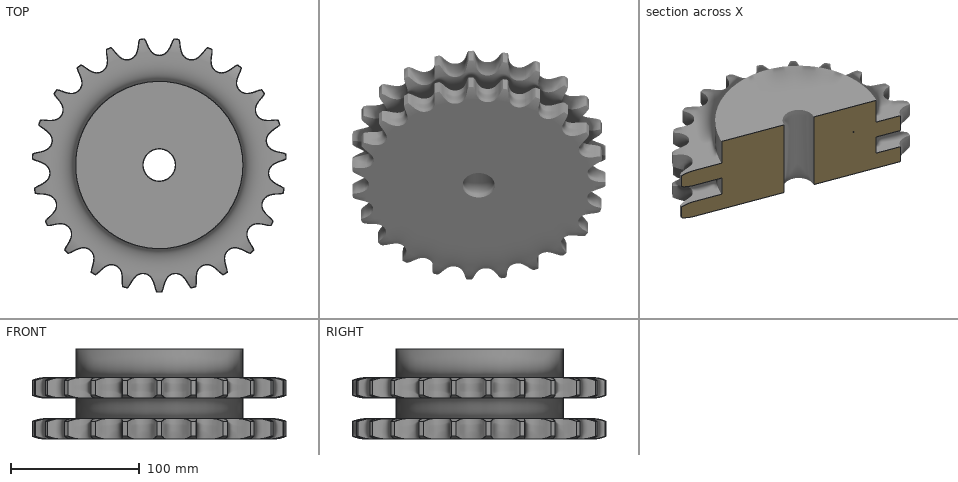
import cadquery as cq
import math


chain_pitch = 25.4
roller_diameter = 15.88
row_spacing = 31.88

tooth_count = 23
outer_diameter = 197.5
tooth_width = 15.8
hub_diameter = 130.0
bore_diameter = 25.0
total_height = 70.0

crown_radius = 26.0
crown_depth = 2.2

seating_clearance = 0.076
seating_ratio = 1.005
flank_ratio = 1.3025
flank_center_ratio = 0.8
topping_center_ratio = 1.4
seating_angle = math.radians(35 + 60 / tooth_count)
flank_angle = math.radians(18 - 56 / tooth_count)
topping_angle = math.radians(17 - 64 / tooth_count)
gap_overrun = 5.0

tooth_step = 360 / tooth_count
pitch_radius = chain_pitch / (2 * math.sin(math.pi / tooth_count))
outer_radius = outer_diameter / 2
seating_radius = (seating_ratio * roller_diameter + seating_clearance) / 2
flank_radius = flank_ratio * roller_diameter + seating_clearance / 2
topping_radius = (
    flank_center_ratio * math.cos(flank_angle)
    + topping_center_ratio * math.cos(topping_angle)
    - flank_ratio
) * roller_diameter - seating_clearance / 2
straight_length = roller_diameter * (
    topping_center_ratio * math.sin(topping_angle)
    - flank_center_ratio * math.sin(flank_angle)
)


def on_circle(center, radius, angle):
    """Point on a circle at an angle in radians from +X."""
    return (center[0] + radius * math.cos(angle), center[1] + radius * math.sin(angle))


def mirrored(point):
    return (-point[0], point[1])


def crowned_disc():
    """Blank of one tooth row, its rim narrowed on both sides by a crowning arc."""
    crown_width = math.sqrt(crown_radius**2 - (crown_radius - crown_depth) ** 2)
    crown_start = outer_radius - crown_width
    half_crown = math.asin(crown_width / crown_radius) / 2
    mid_radius = crown_start + crown_radius * math.sin(half_crown)
    mid_depth = crown_radius * (1 - math.cos(half_crown))
    return (
        cq.Workplane("XZ")
        .lineTo(crown_start, 0)
        .threePointArc((mid_radius, mid_depth), (outer_radius, crown_depth))
        .lineTo(outer_radius, tooth_width - crown_depth)
        .threePointArc((mid_radius, tooth_width - mid_depth), (crown_start, tooth_width))
        .lineTo(0, tooth_width)
        .close()
        .revolve(360, (0, 0, 0), (0, 1, 0))
    )


def tooth_gap():
    """Cutter for the gap on the +Y side: seating, flank, straight and topping stretches."""
    roller_center = (0, pitch_radius)
    root = on_circle(roller_center, seating_radius, -math.pi / 2)
    seating_end = on_circle(roller_center, seating_radius, -seating_angle)

    flank_center = on_circle(roller_center, seating_radius - flank_radius, -seating_angle)
    flank_end_angle = flank_angle - seating_angle
    flank_mid = on_circle(flank_center, flank_radius, flank_angle / 2 - seating_angle)
    flank_end = on_circle(flank_center, flank_radius, flank_end_angle)
    straight_end = on_circle(flank_end, straight_length, flank_end_angle + math.pi / 2)

    topping_center = on_circle(straight_end, topping_radius, flank_end_angle)
    center_distance = math.hypot(*topping_center)
    center_direction = math.atan2(topping_center[1], topping_center[0])
    tip_offset = math.acos(
        (outer_radius**2 + center_distance**2 - topping_radius**2)
        / (2 * outer_radius * center_distance)
    )
    tip_angle = center_direction + tip_offset
    tip = on_circle((0, 0), outer_radius, tip_angle)
    beyond_tip = on_circle((0, 0), outer_radius + gap_overrun, tip_angle)
    topping_start_angle = flank_end_angle + math.pi
    topping_end_angle = math.atan2(tip[1] - topping_center[1], tip[0] - topping_center[0])
    topping_mid = on_circle(
        topping_center, topping_radius, (topping_start_angle + topping_end_angle) / 2
    )

    return (
        cq.Workplane("XY")
        .moveTo(*mirrored(seating_end))
        .threePointArc(root, seating_end)
        .threePointArc(flank_mid, flank_end)
        .lineTo(*straight_end)
        .threePointArc(topping_mid, tip)
        .lineTo(*beyond_tip)
        .lineTo(*mirrored(beyond_tip))
        .lineTo(*mirrored(tip))
        .threePointArc(mirrored(topping_mid), mirrored(straight_end))
        .lineTo(*mirrored(flank_end))
        .threePointArc(mirrored(flank_mid), mirrored(seating_end))
        .close()
        .extrude(tooth_width)
    )


def tooth_row():
    row = crowned_disc()
    gap = tooth_gap()
    for index in range(tooth_count):
        row = row.cut(gap.rotate((0, 0, 0), (0, 0, 1), index * tooth_step))
    return row


lower_row = tooth_row()
upper_row = lower_row.translate((0, 0, row_spacing))
hub = cq.Workplane("XY").circle(hub_diameter / 2).extrude(total_height)
bore = cq.Workplane("XY").circle(bore_diameter / 2).extrude(total_height)

result = hub.union(lower_row).union(upper_row).cut(bore)